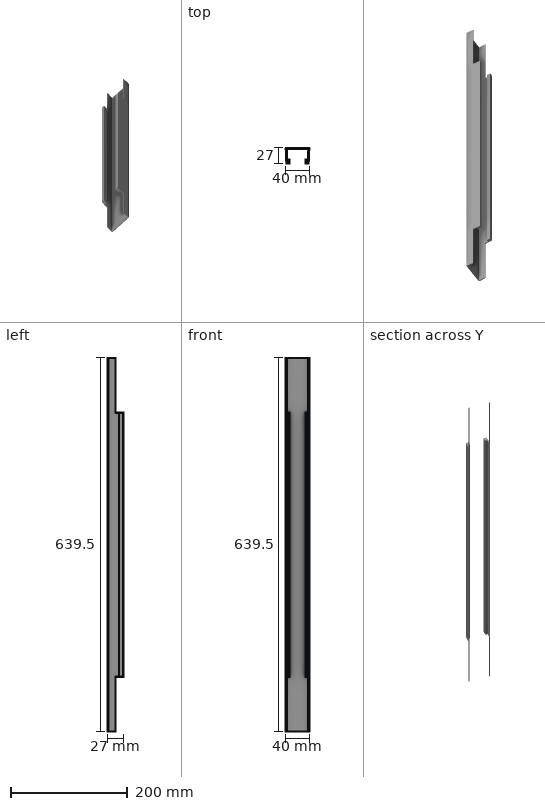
import cadquery as cq

LENGTH = 639.5
WIDTH = 40.0
DEPTH = 27.0

SHEET = 1.6
BEND_RADIUS = 1.6
LEAN = 1.1

END_DEPTH = 13.5
END_LENGTH = 93.5

STRIP_THICKNESS = 4.0
STRIP_DEPTH = 7.0

MIDDLE_LENGTH = LENGTH - 2 * END_LENGTH
BACK_Y = DEPTH / 2
FRONT_Y = -DEPTH / 2
BEND_Y = BACK_Y - BEND_RADIUS


def wall_x(y, inset):
    """Half width of the section at a given y, measured inset from the outer wall face."""
    return WIDTH / 2 - LEAN * (BEND_Y - y) / (BEND_Y - FRONT_Y) - inset


def make_section(back_y, inset):
    """Full-length tapered bar, narrowing toward -Y, inset from the outer wall faces."""
    back_x = wall_x(back_y, inset)
    front_x = wall_x(FRONT_Y, inset)
    return (
        cq.Workplane("XY")
        .workplane(offset=-LENGTH / 2)
        .polyline([(-back_x, back_y), (back_x, back_y), (front_x, FRONT_Y), (-front_x, FRONT_Y)])
        .close()
        .extrude(LENGTH)
    )


def make_channel():
    """Channel open to -Y, with its side walls cut low near both ends."""
    outside = make_section(BACK_Y, 0).edges("|Z and >Y").fillet(BEND_RADIUS)
    inside = make_section(BACK_Y - SHEET, SHEET)
    body = outside.cut(inside)
    cut_depth = DEPTH - END_DEPTH
    for side in (-1, 1):
        end_cut = cq.Workplane("XY").box(WIDTH, cut_depth, END_LENGTH)
        end_y = FRONT_Y + cut_depth / 2
        end_z = side * (LENGTH - END_LENGTH) / 2
        body = body.cut(end_cut.translate((0, end_y, end_z)))
    return body


def make_strip(side):
    """Flat strip lying against the inside of one side wall, flush with its front edge."""
    top_y = FRONT_Y + STRIP_DEPTH
    inner_inset = SHEET + STRIP_THICKNESS
    outline = [
        (side * wall_x(FRONT_Y, SHEET), FRONT_Y),
        (side * wall_x(top_y, SHEET), top_y),
        (side * wall_x(top_y, inner_inset), top_y),
        (side * wall_x(FRONT_Y, inner_inset), FRONT_Y),
    ]
    return (
        cq.Workplane("XY")
        .workplane(offset=-MIDDLE_LENGTH / 2)
        .polyline(outline)
        .close()
        .extrude(MIDDLE_LENGTH)
    )


channel = make_channel()
strips = [make_strip(side) for side in (-1, 1)]

result = cq.Compound.makeCompound([channel.val(), *[strip.val() for strip in strips]])